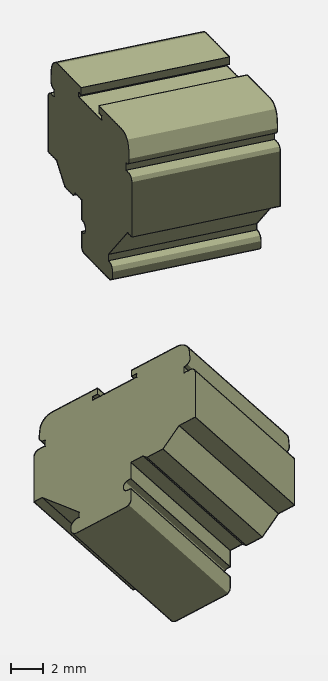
import cadquery as cq
import math

width = 12.5
depth = 10.0
height = 11.25

slot_mouth_width = 2.62
slot_floor_width = 3.4
slot_lip_height = 0.51
slot_depth = 0.8

head_bottom_z = 9.2
head_corner_radius = 1.0
head_corner_center_x = 4.79
head_edge_radius = 0.45
flare_angle = math.radians(5)
neck_half_width = 5.39

shoulder_z = 8.71
shoulder_radius = 0.44
body_bottom_z = 4.5

lug_left_x = -5.0
lug_bottom_z = 3.25
lug_bottom_right_x = -2.5
lug_recess_z = 3.54

foot_left_x = -1.26
foot_right_x = 3.38
foot_neck_x = 2.75
foot_neck_top_z = 1.65
foot_hook_z = 1.21
foot_hook_radius = 0.5
foot_left_radius = 0.38
groove_center_z = 1.75
groove_radius = 0.41
groove_depth = 0.59

half_width = width / 2
diagonal = math.sqrt(0.5)


def side_points():
    """Points of the right-hand side, from the body bottom up to the top flat."""
    corner_z = height - head_corner_radius
    corner_end_x = head_corner_center_x + head_corner_radius * math.cos(flare_angle)
    corner_end_z = corner_z + head_corner_radius * math.sin(flare_angle)
    corner_mid_angle = (flare_angle + math.pi / 2) / 2

    edge_z = head_bottom_z + head_edge_radius
    edge_start_z = edge_z + head_edge_radius * math.sin(flare_angle)
    edge_start_x = corner_end_x + (corner_end_z - edge_start_z) * math.tan(flare_angle)
    edge_center_x = edge_start_x - head_edge_radius * math.cos(flare_angle)
    edge_mid_angle = (flare_angle - math.pi / 2) / 2

    shoulder_x = half_width - shoulder_radius
    return {
        "shoulder_start": (half_width, shoulder_z - shoulder_radius),
        "shoulder_mid": (
            shoulder_x + shoulder_radius * diagonal,
            shoulder_z - shoulder_radius * (1 - diagonal),
        ),
        "shoulder_end": (shoulder_x, shoulder_z),
        "neck_bottom": (neck_half_width, shoulder_z),
        "neck_top": (neck_half_width, head_bottom_z),
        "edge_start": (edge_center_x, head_bottom_z),
        "edge_mid": (
            edge_center_x + head_edge_radius * math.cos(edge_mid_angle),
            edge_z + head_edge_radius * math.sin(edge_mid_angle),
        ),
        "edge_end": (edge_start_x, edge_start_z),
        "corner_start": (corner_end_x, corner_end_z),
        "corner_mid": (
            head_corner_center_x + head_corner_radius * math.cos(corner_mid_angle),
            corner_z + head_corner_radius * math.sin(corner_mid_angle),
        ),
        "corner_end": (head_corner_center_x, height),
    }


def extrude(profile):
    """Extrude a closed XZ profile over the full depth, centred on Y."""
    return profile.extrude(depth / 2, both=True)


def half_upper_body():
    """Right half of the body and head, above the body bottom."""
    p = side_points()
    return extrude(
        cq.Workplane("XZ")
        .moveTo(0, body_bottom_z)
        .lineTo(half_width, body_bottom_z)
        .lineTo(*p["shoulder_start"])
        .threePointArc(p["shoulder_mid"], p["shoulder_end"])
        .lineTo(*p["neck_bottom"])
        .lineTo(*p["neck_top"])
        .lineTo(*p["edge_start"])
        .threePointArc(p["edge_mid"], p["edge_end"])
        .lineTo(*p["corner_start"])
        .threePointArc(p["corner_mid"], p["corner_end"])
        .lineTo(0, height)
        .close()
    )


def lower_body():
    """Lug and foot hanging below the body, with the foot corners rounded."""
    lug_drop = body_bottom_z - lug_bottom_z
    lug_recess_x = lug_bottom_right_x + lug_recess_z - lug_bottom_z
    diagonal_top_x = foot_neck_x + body_bottom_z - foot_neck_top_z
    outline = [
        (lug_left_x, body_bottom_z),
        (lug_left_x + lug_drop, lug_bottom_z),
        (lug_bottom_right_x, lug_bottom_z),
        (lug_recess_x, lug_recess_z),
        (foot_left_x, lug_recess_z),
        (foot_left_x, 0),
        (foot_right_x, 0),
        (foot_right_x, foot_hook_z),
        (foot_neck_x, foot_hook_z),
        (foot_neck_x, foot_neck_top_z),
        (diagonal_top_x, body_bottom_z),
    ]
    solid = extrude(cq.Workplane("XZ").polyline(outline).close())
    solid = solid.edges(cq.selectors.NearestToPointSelector((foot_left_x, 0, 0))).fillet(foot_left_radius)
    for corner_z in (0, foot_hook_z):
        corner = cq.selectors.NearestToPointSelector((foot_right_x, 0, corner_z))
        solid = solid.edges(corner).fillet(foot_hook_radius)
    return solid


def top_slot():
    """Undercut slot: a narrow mouth over a wider floor."""
    floor_z = height - slot_depth
    mouth = cq.Workplane("XY").box(slot_mouth_width, depth, slot_depth, centered=(True, True, False))
    floor = cq.Workplane("XY").box(
        slot_floor_width, depth, slot_depth - slot_lip_height, centered=(True, True, False)
    )
    return mouth.union(floor).translate((0, 0, floor_z))


def foot_groove():
    """Round-bottomed groove in the left face of the foot."""
    center_x = foot_left_x + groove_depth - groove_radius
    return extrude(
        cq.Workplane("XZ")
        .moveTo(foot_left_x, groove_center_z - groove_radius)
        .lineTo(center_x, groove_center_z - groove_radius)
        .threePointArc(
            (foot_left_x + groove_depth, groove_center_z),
            (center_x, groove_center_z + groove_radius),
        )
        .lineTo(foot_left_x, groove_center_z + groove_radius)
        .close()
    )


right_half = half_upper_body()
upper_body = right_half.union(right_half.mirror("YZ"))
result = upper_body.union(lower_body()).cut(top_slot()).cut(foot_groove()).clean()